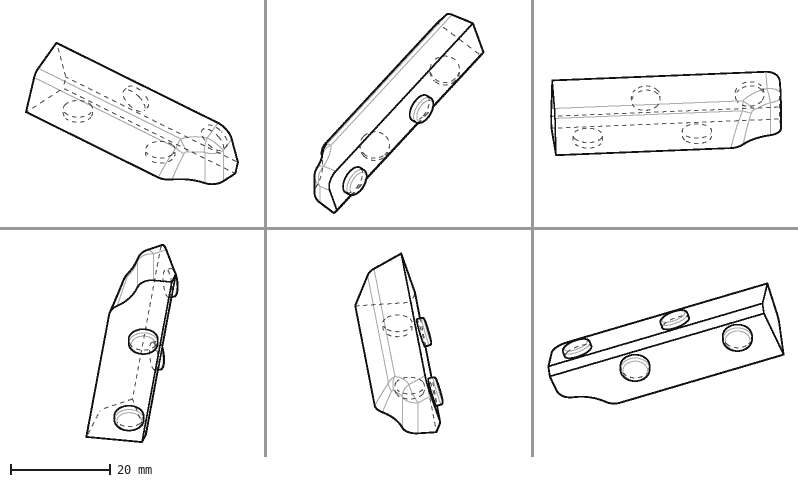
import cadquery as cq
import math

block_length = 46.1
heading = 19.5
block_height = 12.1
base_depth = 11.35
widest_depth = 12.15
ridge_height = 2.3
crest_depth = 9.35
shoulder_depth = 2.85
shoulder_height = 8.2
round_radius = 3.0

scoop_radius = 10.0
scoop_center_x = 45.5
scoop_center_y = -5.15

peg_height = 1.45
base_peg_diameter = 5.9
back_peg_diameter = 5.8
peg_round = 0.45
base_peg_start = 7.05
base_peg_spacing = 22.05
base_peg_depth = 7.75
back_peg_start = 19.05
back_peg_spacing = 21.0
back_peg_rise = 3.48

selection_margin = 0.45


def make_block():
    """Cross-section swept along the local X axis, with the shoulder rounded."""
    block = (
        cq.Workplane("YZ")
        .moveTo(0, 0)
        .lineTo(base_depth, 0)
        .lineTo(widest_depth, ridge_height)
        .lineTo(crest_depth, block_height)
        .lineTo(shoulder_depth, shoulder_height)
        .close()
        .extrude(block_length)
    )
    shoulder = cq.selectors.NearestToPointSelector((block_length / 2, shoulder_depth, shoulder_height))
    return block.edges(shoulder).fillet(round_radius)


def cut_scoop(block):
    scoop = (
        cq.Workplane("XY")
        .center(scoop_center_x, scoop_center_y)
        .circle(scoop_radius)
        .extrude(block_height)
    )
    return block.cut(scoop)


def round_end(block):
    """Round the end's upright corner and its rim along the front, shoulder and upper slope.

    One fillet for all of them leaves a ball-shaped nose where corner and rim meet.
    """
    end_edges = cq.selectors.BoxSelector(
        (scoop_center_x - scoop_radius, -selection_margin, selection_margin),
        (block_length + selection_margin, crest_depth - selection_margin, block_height + selection_margin),
    )
    return block.edges(end_edges).edges("not |X").fillet(round_radius)


def make_peg(plane, diameter):
    return (
        cq.Workplane(plane)
        .circle(diameter / 2)
        .extrude(peg_height)
        .faces(cq.selectors.DirectionMinMaxSelector(plane.zDir, True))
        .edges()
        .fillet(peg_round)
    )


def add_pegs(block):
    back_run = widest_depth - crest_depth
    back_climb = block_height - ridge_height
    back_length = math.hypot(back_run, back_climb)
    back_normal = (0, back_climb / back_length, back_run / back_length)
    back_peg_depth = widest_depth - back_peg_rise * back_run / back_length
    back_peg_height = ridge_height + back_peg_rise * back_climb / back_length
    for i in range(2):
        base_center = (base_peg_start + i * base_peg_spacing, base_peg_depth, 0)
        back_center = (back_peg_start + i * back_peg_spacing, back_peg_depth, back_peg_height)
        block = block.union(make_peg(cq.Plane(base_center, (1, 0, 0), (0, 0, -1)), base_peg_diameter))
        block = block.union(make_peg(cq.Plane(back_center, (1, 0, 0), back_normal), back_peg_diameter))
    return block


block = cut_scoop(make_block())
block = round_end(block)
result = add_pegs(block).rotate((0, 0, 0), (0, 0, 1), heading)